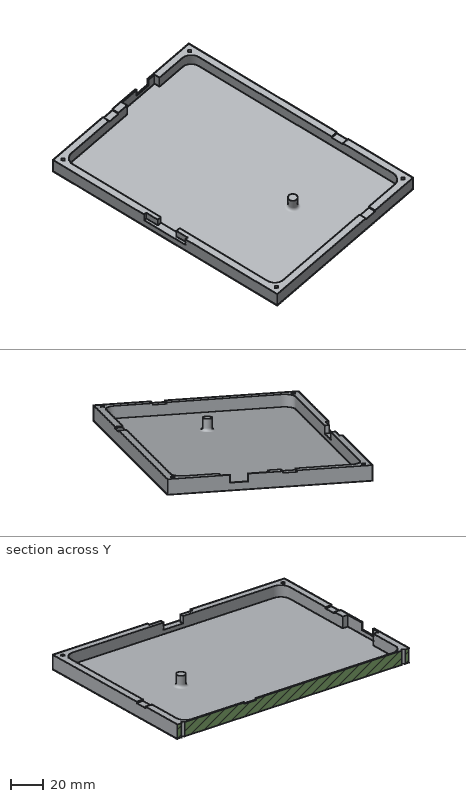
import cadquery as cq
import math

LENGTH = 180.0
WIDTH = 130.5
HEIGHT = 10.0

WALL = 5.0
FLOOR = 2.0
POCKET_CORNER_RADIUS = 7.0

HOLE_DIAMETER = 2.2
HOLE_INSET = 4.5

PIN_X = 44.0
PIN_Y = 4.75
PIN_DIAMETER = 6.0
PIN_HEIGHT = 8.0
PIN_FILLET = 2.0

SILL = 5.0

FRONT_GAP_WIDTH = 15.0
FRONT_RECESS_WIDTH = 33.25
FRONT_RECESS_DEPTH = 2.0
FRONT_RECESS_X = -0.25

LEFT_SKIN = 1.0
LEFT_RELIEF_Y = 15.65
LEFT_RELIEF_WIDTH = 31.0
LEFT_WINDOW_Y = 19.75
LEFT_WINDOW_WIDTH = 11.5

NOTCH_WIDTH = 9.0
NOTCH_DEPTH = 1.0
BACK_NOTCH_X = 33.35
RIGHT_NOTCH_Y = 24.25
LEFT_NOTCH_Y = -12.75


def block(size_x, size_y, center_x, center_y, bottom):
    """Box reaching from the given bottom height up to the rim."""
    box = cq.Workplane("XY").box(size_x, size_y, HEIGHT - bottom, centered=(True, True, False))
    return box.translate((center_x, center_y, bottom))


def tray():
    body = block(LENGTH, WIDTH, 0, 0, 0)
    pocket = block(LENGTH - 2 * WALL, WIDTH - 2 * WALL, 0, 0, FLOOR)
    return body.cut(pocket.edges("|Z").fillet(POCKET_CORNER_RADIUS))


def screw_holes():
    spacing_x = LENGTH - 2 * HOLE_INSET
    spacing_y = WIDTH - 2 * HOLE_INSET
    centres = cq.Workplane("XY").rarray(spacing_x, spacing_y, 2, 2)
    return centres.circle(HOLE_DIAMETER / 2).extrude(HEIGHT)


def front_opening():
    gap_y = (WALL - WIDTH) / 2
    gap = block(FRONT_GAP_WIDTH, WALL, 0, gap_y, SILL)
    recess_y = (FRONT_RECESS_DEPTH - WIDTH) / 2
    recess = block(FRONT_RECESS_WIDTH, FRONT_RECESS_DEPTH, FRONT_RECESS_X, recess_y, SILL)
    return gap.union(recess)


def left_opening():
    relief_depth = WALL - LEFT_SKIN
    relief_x = -LENGTH / 2 + LEFT_SKIN + relief_depth / 2
    relief = block(relief_depth, LEFT_RELIEF_WIDTH, relief_x, LEFT_RELIEF_Y, FLOOR)
    window_x = (WALL - LENGTH) / 2
    window = block(WALL, LEFT_WINDOW_WIDTH, window_x, LEFT_WINDOW_Y, SILL)
    return relief.union(window)


def rim_notches():
    bottom = HEIGHT - NOTCH_DEPTH
    side_x = (LENGTH - WALL) / 2
    back_y = (WIDTH - WALL) / 2
    back = block(NOTCH_WIDTH, WALL, BACK_NOTCH_X, back_y, bottom)
    right = block(WALL, NOTCH_WIDTH, side_x, RIGHT_NOTCH_Y, bottom)
    left = block(WALL, NOTCH_WIDTH, -side_x, LEFT_NOTCH_Y, bottom)
    return back.union(right).union(left)


def pin():
    """Pin profile with a concave foot fillet, revolved about its own axis."""
    radius = PIN_DIAMETER / 2
    foot_radius = radius + PIN_FILLET
    pin_top = FLOOR + PIN_HEIGHT
    arc_offset = PIN_FILLET * (1 - math.cos(math.pi / 4))
    profile = (
        cq.Workplane("XZ")
        .moveTo(0, 0)
        .lineTo(foot_radius, 0)
        .lineTo(foot_radius, FLOOR)
        .threePointArc((radius + arc_offset, FLOOR + arc_offset), (radius, FLOOR + PIN_FILLET))
        .lineTo(radius, pin_top)
        .lineTo(0, pin_top)
        .close()
    )
    return profile.revolve(360, (0, 0), (0, 1)).translate((PIN_X, PIN_Y, 0))


result = tray()
for cutter in (screw_holes(), front_opening(), left_opening(), rim_notches()):
    result = result.cut(cutter)
result = result.union(pin())